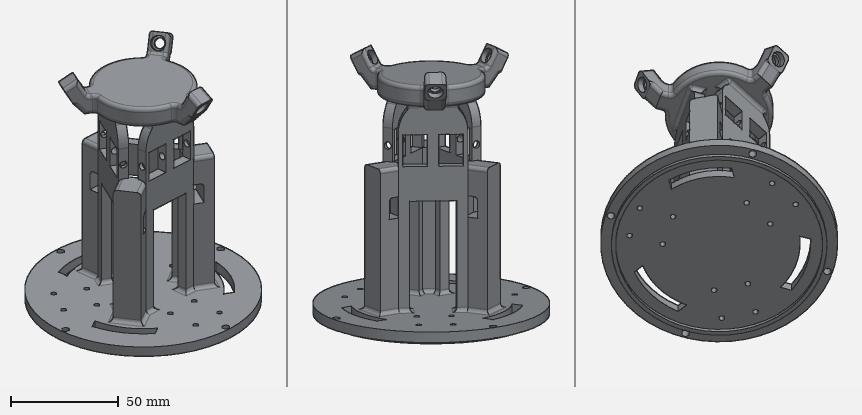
import cadquery as cq
import math

base_diameter = 110.0
base_top = 6.9
flange_thickness = 5.0
lip_height = base_top - flange_thickness
lip_outer_diameter = 100.0
lip_inner_diameter = 96.0
rim_hole_diameter = 3.5
rim_hole_radius = 52.5
rim_hole_count = 4
mount_hole_diameter = 2.5
mount_hole_radius = 32.9
mount_hole_spacing = 16.1
slot_inner_radius = 37.6
slot_outer_radius = 42.5
slot_half_width = 15.0

plate_angles = (0, 120, 240)
plate_thickness = 5.0
plate_outer = 17.0
plate_half_width = 16.2
plate_arch_height = 92.7
door_half_width = 10.9
door_top = 60.0
window_bottom = 76.5
window_top = 91.7
window_width = 11.4
mullion_width = 5.3
cross_hole_diameter = 3.5

pillar_angles = (60, 180, 300)
pillar_inner = 18.7
pillar_outer = 32.5
pillar_width = 13.3
pillar_top = window_bottom
side_window_inner = 20.5
side_window_outer = 27.5
side_window_bottom = 52.0
side_window_top = 62.2

head_diameter = 50.0
head_bottom = 106.7
head_thickness = 10.0
head_top = head_bottom + head_thickness
part_height = 125.7
arm_width = 10.0
arm_thickness = 8.0
arm_tilt = math.radians(60)
arm_foot = 29.5
arm_bend_height = 112.6
arm_fold = 27.9
arm_tip = arm_fold + (part_height - head_top) / math.tan(arm_tilt)
arm_bore_diameter = 5.0
arm_counterbore_diameter = 7.2
arm_counterbore_depth = 3.0
arm_bore_from_tip = 5.3

round_radius = 2.0
tolerance = 0.001


def around(shape, angles):
    """Join copies of a shape turned about Z."""
    turned = cq.Workplane("XY")
    for angle in angles:
        turned = turned.add(shape.rotate((0, 0, 0), (0, 0, 1), angle).val())
    return turned.combine()


def box(x_range, y_range, z_range):
    """A block between the given limits."""
    sizes = [high - low for low, high in (x_range, y_range, z_range)]
    corner = (x_range[0], y_range[0], z_range[0])
    return cq.Workplane("XY").box(*sizes, centered=False).translate(corner)


def lines_at_height(body, height):
    """The straight edges that lie level at a height."""
    return [
        edge
        for edge in body.edges("%LINE").vals()
        if abs(edge.startPoint().z - height) + abs(edge.endPoint().z - height) < tolerance
    ]


def base_plate():
    lip = cq.Workplane("XY").circle(lip_outer_diameter / 2).circle(lip_inner_diameter / 2).extrude(lip_height)
    flange = cq.Workplane("XY", origin=(0, 0, lip_height)).circle(base_diameter / 2).extrude(flange_thickness)
    return flange.union(lip)


def base_openings():
    rim_holes = (
        cq.Workplane("XY")
        .polarArray(rim_hole_radius, 0, 360, rim_hole_count)
        .circle(rim_hole_diameter / 2)
        .extrude(base_top)
    )
    mount_holes = (
        cq.Workplane("XY")
        .center(mount_hole_radius, 0)
        .rarray(mount_hole_spacing, mount_hole_spacing, 2, 2)
        .circle(mount_hole_diameter / 2)
        .extrude(base_top)
    )
    ring = cq.Workplane("XY").circle(slot_outer_radius).circle(slot_inner_radius).extrude(base_top)
    slot = ring.intersect(box((0, slot_outer_radius), (-slot_half_width, slot_half_width), (0, base_top)))
    return rim_holes.union(around(mount_holes, plate_angles)).union(around(slot, pillar_angles))


def plate():
    """An upright plate with an arched top, a doorway and two windows."""
    plate_inner = plate_outer - plate_thickness
    arch_end = math.sqrt(plate_half_width**2 - (head_bottom - plate_arch_height) ** 2)
    half_angle = math.acos(arch_end / plate_half_width) / 2
    arch_mid = plate_half_width * math.cos(half_angle)
    arch_mid_height = plate_arch_height + plate_half_width * math.sin(half_angle)
    body = (
        cq.Workplane("YZ", origin=(plate_inner, 0, 0))
        .moveTo(-plate_half_width, base_top)
        .lineTo(-plate_half_width, plate_arch_height)
        .threePointArc((-arch_mid, arch_mid_height), (-arch_end, head_bottom))
        .lineTo(arch_end, head_bottom)
        .threePointArc((arch_mid, arch_mid_height), (plate_half_width, plate_arch_height))
        .lineTo(plate_half_width, base_top)
        .close()
        .extrude(plate_thickness)
    )
    x_range = (plate_inner, plate_outer)
    body = body.cut(box(x_range, (-door_half_width, door_half_width), (base_top, door_top)))
    for side in (-1, 1):
        y_range = sorted((side * mullion_width / 2, side * (mullion_width / 2 + window_width)))
        body = body.cut(box(x_range, y_range, (window_bottom, window_top)))
    return body


def cross_hole():
    """A hole along the width of a plate, through the middle of its windows."""
    start = (plate_outer - plate_thickness / 2, plate_half_width, (window_bottom + window_top) / 2)
    return cq.Workplane("XZ", origin=start).circle(cross_hole_diameter / 2).extrude(2 * plate_half_width)


def pillar():
    half = pillar_width / 2
    body = box((pillar_inner, pillar_outer), (-half, half), (base_top, pillar_top))
    body = body.edges("|X and >Z").fillet(round_radius)
    window = box((side_window_inner, side_window_outer), (-half, half), (side_window_bottom, side_window_top))
    return body.cut(window.edges("|Y and >X and >Z").fillet(round_radius))


def arm():
    """An arm that leaves the disc along X and bends upwards."""
    tip_outer = arm_tip + arm_thickness * math.sin(arm_tilt)
    tip_outer_height = part_height - arm_thickness * math.cos(arm_tilt)
    bend = tip_outer - (tip_outer_height - arm_bend_height) / math.tan(arm_tilt)
    return (
        cq.Workplane("XZ", origin=(0, arm_width / 2, 0))
        .moveTo(0, head_bottom)
        .lineTo(arm_foot, head_bottom)
        .lineTo(bend, arm_bend_height)
        .lineTo(tip_outer, tip_outer_height)
        .lineTo(arm_tip, part_height)
        .lineTo(arm_fold, head_top)
        .lineTo(0, head_top)
        .close()
        .extrude(arm_width)
    )


def arm_bore():
    """A bore square to the raised part of an arm, counterbored from both faces."""
    centre = (
        arm_tip - arm_bore_from_tip * math.cos(arm_tilt),
        0,
        part_height - arm_bore_from_tip * math.sin(arm_tilt),
    )
    direction = (math.sin(arm_tilt), 0, -math.cos(arm_tilt))
    face = cq.Workplane(cq.Plane(origin=centre, xDir=(0, 1, 0), normal=direction))
    bore = face.circle(arm_bore_diameter / 2).extrude(arm_thickness)
    for offset in (0, arm_thickness - arm_counterbore_depth):
        counterbore = (
            face.workplane(offset=offset).circle(arm_counterbore_diameter / 2).extrude(arm_counterbore_depth)
        )
        bore = bore.union(counterbore)
    return bore


def outline_edges(body, lowest, highest):
    """Pick the edges between two heights, except upright ones and those straight across an arm."""
    picked = []
    for edge in body.edges().vals():
        start, end = edge.startPoint(), edge.endPoint()
        run = math.hypot(end.x, end.y) - math.hypot(start.x, start.y)
        in_range = min(start.z, end.z) > lowest - tolerance and max(start.z, end.z) < highest + tolerance
        if in_range and (edge.geomType() == "CIRCLE" or abs(run) > tolerance):
            picked.append(edge)
    return body.newObject(picked)


def head():
    """The disc and its arms, with rounded rims, necks and folds."""
    disc = cq.Workplane("XY", origin=(0, 0, head_bottom)).circle(head_diameter / 2).extrude(head_thickness)
    body = disc.union(around(arm(), plate_angles))
    body = body.edges("|Z").fillet(round_radius)
    folds = [edge for edge in lines_at_height(body, head_top) if abs(edge.Length() - arm_width) < tolerance]
    body = body.newObject(folds).fillet(round_radius)
    body = outline_edges(body, head_top, part_height).fillet(round_radius)
    body = outline_edges(body, head_bottom, arm_bend_height).fillet(round_radius)
    return body.cut(around(arm_bore(), plate_angles))


def tower():
    """The base plate with the plates and pillars on it, rounded at their feet."""
    body = base_plate().union(around(plate(), plate_angles)).union(around(pillar(), pillar_angles))
    body = body.newObject(lines_at_height(body, base_top)).fillet(round_radius)
    return body.cut(base_openings()).cut(around(cross_hole(), plate_angles))


def is_plate_top(edge):
    """Tell the edges where a plate meets the disc from the edges of the arms."""
    centre = edge.Center()
    return math.hypot(centre.x, centre.y) < plate_outer + tolerance


joined = tower().union(head())
plate_tops = [edge for edge in lines_at_height(joined, head_bottom) if is_plate_top(edge)]
result = joined.newObject(plate_tops).fillet(round_radius)